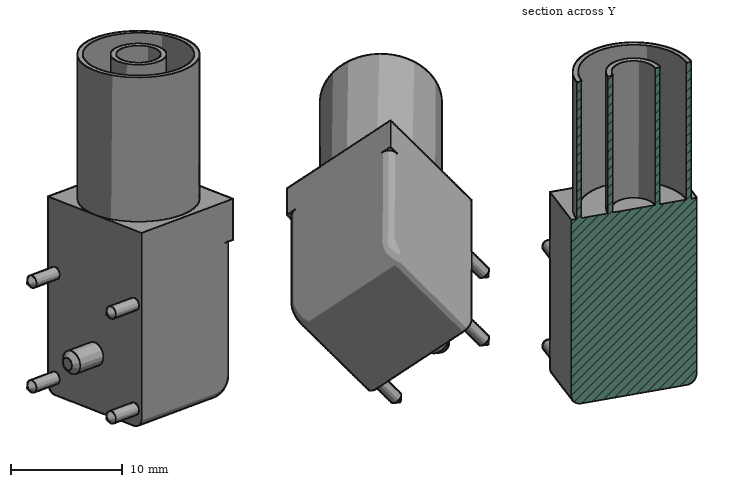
import cadquery as cq

total_height = 33.0
total_depth = 14.9
block_width = 12.0
block_height = 19.0
block_depth = 11.5

tube_diameter = 11.0
tube_bore = 10.0
sleeve_diameter = 5.0
sleeve_bore = 4.0
tube_length = total_height - block_height

front_y = -tube_diameter / 2
back_y = front_y + block_depth

head_height = 4.0
edge_radius = 1.0
heel_radius = 2 * edge_radius

pin_length = total_depth - block_depth
tip_length = 0.53
corner_pin_diameter = 1.2
corner_pin_tip_diameter = 0.2
corner_pin_spacing = 10.15
lower_pin_z = 1.68
center_pin_diameter = 2.2
center_pin_tip_diameter = 1.2
center_pin_z = 5.5


def make_block():
    """Square head above a body rounded along its back, bottom and side edges."""
    body_height = block_height - head_height
    middle_y = (front_y + back_y) / 2
    body = (
        cq.Workplane("XY")
        .center(0, middle_y)
        .box(block_width, block_depth, body_height, centered=(True, True, False))
    )
    body = body.edges(">Y and <Z").fillet(heel_radius)
    rounded_faces = body.faces("<Z or >Y")
    side_edges = rounded_faces.edges("<X or >X")
    body = body.newObject(side_edges.vals()).fillet(edge_radius)
    head = (
        cq.Workplane("XY", origin=(0, middle_y, body_height))
        .box(block_width, block_depth, head_height, centered=(True, True, False))
    )
    return body.union(head)


def make_ring(outer_diameter, inner_diameter):
    """Upright tube standing on top of the block."""
    return (
        cq.Workplane("XY", origin=(0, 0, block_height))
        .circle(outer_diameter / 2)
        .circle(inner_diameter / 2)
        .extrude(tube_length)
    )


def make_housing():
    """Block, outer tube and inner sleeve as one solid."""
    tube = make_ring(tube_diameter, tube_bore)
    sleeve = make_ring(sleeve_diameter, sleeve_bore)
    return make_block().union(tube).union(sleeve)


def make_pin(diameter, tip_diameter, x, z):
    """Round pin with a conical tip, pointing along -Y from the front face."""
    radius = diameter / 2
    tip_radius = tip_diameter / 2
    shank_end = front_y - pin_length + tip_length
    return (
        cq.Workplane("XY")
        .moveTo(0, front_y)
        .lineTo(radius, front_y)
        .lineTo(radius, shank_end)
        .lineTo(tip_radius, front_y - pin_length)
        .lineTo(0, front_y - pin_length)
        .close()
        .revolve(360, (0, 0, 0), (0, 1, 0))
        .translate((x, 0, z))
    )


housing = make_housing()
center_pin = make_pin(center_pin_diameter, center_pin_tip_diameter, 0, center_pin_z)
corner_pins = []
for pin_x in (-corner_pin_spacing / 2, corner_pin_spacing / 2):
    for pin_z in (lower_pin_z, lower_pin_z + corner_pin_spacing):
        pin = make_pin(corner_pin_diameter, corner_pin_tip_diameter, pin_x, pin_z)
        corner_pins.append(pin.val())

result = cq.Compound.makeCompound([housing.val(), center_pin.val(), *corner_pins])